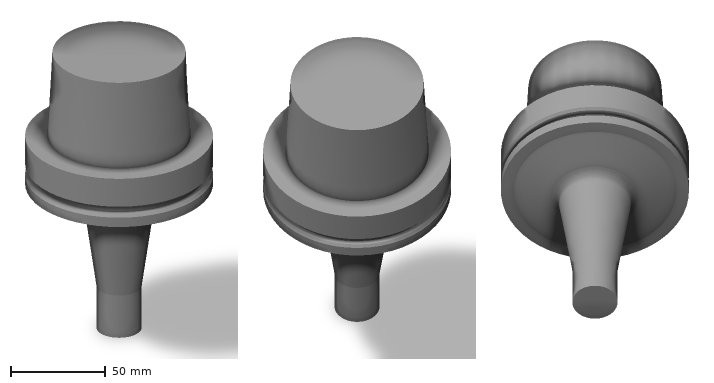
import cadquery as cq
import math

total_height = 164.9
shoulder_z = 115.0
groove_top_z = 97.0
groove_bottom_z = 93.0
flange_bottom_z = 86.0
shank_top_z = 25.2

taper_top_radius = 70.9 / 2
taper_base_radius = 76.2 / 2
flange_radius = 100.0 / 2
groove_radius = 92.0 / 2
cone_top_radius = 86.4 / 2
shank_radius = 24.0 / 2

groove_chamfer = 1.3
cone_angle = math.radians(15)
neck_angle = math.radians(8)
neck_fillet = 5.0

cone_slope = math.tan(cone_angle)
neck_slope = math.tan(neck_angle)
cone_top_above_shank = flange_bottom_z - shank_top_z
neck_top_radius = (
    shank_radius + neck_slope * (cone_top_above_shank - cone_slope * cone_top_radius)
) / (1 - neck_slope * cone_slope)
neck_top_z = flange_bottom_z - cone_slope * (cone_top_radius - neck_top_radius)

chamfered_radius = flange_radius - groove_chamfer
profile = [
    (0, 0),
    (shank_radius, 0),
    (shank_radius, shank_top_z),
    (neck_top_radius, neck_top_z),
    (cone_top_radius, flange_bottom_z),
    (flange_radius, flange_bottom_z),
    (flange_radius, groove_bottom_z - groove_chamfer),
    (chamfered_radius, groove_bottom_z),
    (groove_radius, groove_bottom_z),
    (groove_radius, groove_top_z),
    (chamfered_radius, groove_top_z),
    (flange_radius, groove_top_z + groove_chamfer),
    (flange_radius, shoulder_z),
    (taper_base_radius, shoulder_z),
    (taper_top_radius, total_height),
    (0, total_height),
]
body = cq.Workplane("XZ").polyline(profile).close().revolve(360, (0, 0, 0), (0, 1, 0))

edge_margin = 0.2
neck_corner = cq.selectors.BoxSelector(
    (-flange_radius, -flange_radius, neck_top_z - edge_margin),
    (flange_radius, flange_radius, neck_top_z + edge_margin),
    boundingbox=True,
)
result = body.edges(neck_corner).fillet(neck_fillet)